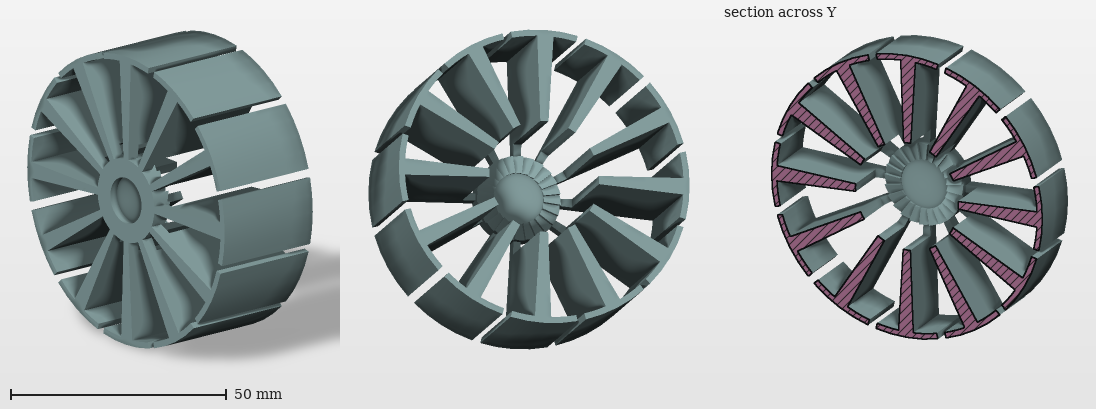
import cadquery as cq
import math

outer_radius = 34.9
width = 27.0
front_y = -width / 2

spoke_count = 12
rim_thickness = 1.5
slot_width = 2.0
rim_inner_radius = outer_radius - rim_thickness
spoke_pitch = 360.0 / spoke_count

spoke_root_width = 1.6
spoke_tip_width = 4.0
spoke_tip_shift = 0.3
spoke_overlap = 0.7

hub_radius = 20.0 / 2
hub_thickness = 4.0
recess_radius = 11.0 / 2
recess_depth = 2.0

pocket_radius = 13.2
spoke_root_thickness = 3.0

tooth_count = 24
tooth_height = 1.0
tooth_ring_inner_radius = 12.0 / 2
tooth_phase_angle = -6.0
tooth_pitch = 360.0 / tooth_count

cut_margin = 2.1


def disc(radius, start_y, length):
    """Cylinder on the wheel axis, running from start_y towards +Y."""
    return cq.Workplane("XZ", origin=(0, start_y, 0)).circle(radius).extrude(-length)


def turn(body, angle):
    """Turn a body about the wheel axis, clockwise as seen from the front."""
    return body.rotate((0, 0, 0), (0, 1, 0), angle)


def make_slot():
    """Cutter for the gap between two rim segments."""
    slot_length = width + 2 * cut_margin
    slot_depth = rim_thickness + 2 * cut_margin
    slot = cq.Workplane("XY").box(slot_width, slot_length, slot_depth)
    return slot.translate((0, 0, outer_radius - rim_thickness / 2))


def make_rim():
    rim = disc(outer_radius, front_y, width).cut(disc(rim_inner_radius, front_y, width))
    for i in range(spoke_count):
        rim = rim.cut(turn(make_slot(), (i + 0.5) * spoke_pitch))
    return rim


def make_spoke():
    """Full-width upright spoke from inside the hub to inside the rim."""
    root_height = hub_radius - spoke_overlap
    tip_height = rim_inner_radius + spoke_overlap
    half_root = spoke_root_width / 2
    half_tip = spoke_tip_width / 2
    profile = cq.Workplane("XZ").polyline([
        (-half_root, root_height),
        (half_root, root_height),
        (half_tip - spoke_tip_shift, tip_height),
        (-half_tip - spoke_tip_shift, tip_height),
    ]).close()
    return profile.extrude(width / 2, both=True)


def make_tooth_gap():
    """Cutter above one tooth ramp, widening with radius and ending in the wall of the next tooth."""
    root_y = front_y + hub_thickness
    tip_y = root_y + tooth_height
    near_radius = tooth_ring_inner_radius - cut_margin
    far_radius = hub_radius + cut_margin

    def triangle(plane, radius):
        length = radius * math.tan(math.radians(tooth_pitch))
        return plane.polyline([(0, tip_y), (length, root_y), (length, tip_y)]).close()

    near = triangle(cq.Workplane("XY").workplane(offset=near_radius), near_radius)
    far = triangle(near.workplane(offset=far_radius - near_radius), far_radius)
    return far.loft(ruled=True)


def make_hub():
    """Recessed disc with the ratchet teeth cut into a ring on its back."""
    hub = disc(hub_radius, front_y, hub_thickness + tooth_height)
    for i in range(tooth_count):
        hub = hub.cut(turn(make_tooth_gap(), tooth_phase_angle + i * tooth_pitch))
    hub = hub.cut(disc(tooth_ring_inner_radius, front_y + hub_thickness, tooth_height))
    return hub.cut(disc(recess_radius, front_y, recess_depth))


wheel = make_rim()
for i in range(spoke_count):
    wheel = wheel.union(turn(make_spoke(), i * spoke_pitch))

pocket = disc(pocket_radius, front_y + spoke_root_thickness, width - spoke_root_thickness)
result = wheel.cut(pocket).union(make_hub())